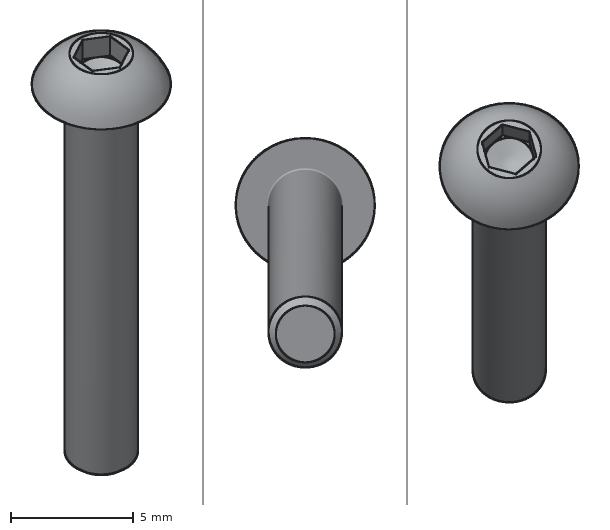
import cadquery as cq
import math

total_length = 21.65
head_diameter = 5.7
head_height = 1.65
head_flat_diameter = 2.6
shank_diameter = 3.0
neck_fillet = 0.06
tip_chamfer = 0.3
socket_across_flats = 2.0
socket_depth = 1.05
socket_cone_angle = 140.0

head_radius = head_diameter / 2
flat_radius = head_flat_diameter / 2
shank_radius = shank_diameter / 2
shank_length = total_length - head_height


def dome_midpoint():
    """Point at half the head height on the sphere through the rim and the flat top."""
    center_height = (flat_radius**2 + head_height**2 - head_radius**2) / (2 * head_height)
    sphere_radius = math.hypot(head_radius, center_height)
    height = head_height / 2
    radius = math.sqrt(sphere_radius**2 - (height - center_height) ** 2)
    return radius, shank_length + height


def make_body():
    """Revolve the half section of the chamfered shank and the domed head."""
    fillet_middle = neck_fillet * (1 - math.sqrt(0.5))
    profile = (
        cq.Workplane("XZ")
        .lineTo(shank_radius - tip_chamfer, 0)
        .lineTo(shank_radius, tip_chamfer)
        .lineTo(shank_radius, shank_length - neck_fillet)
        .threePointArc(
            (shank_radius + fillet_middle, shank_length - fillet_middle),
            (shank_radius + neck_fillet, shank_length),
        )
        .lineTo(head_radius, shank_length)
        .threePointArc(dome_midpoint(), (flat_radius, total_length))
        .lineTo(0, total_length)
        .close()
    )
    return profile.revolve(360, (0, 0, 0), (0, 1, 0))


def make_socket():
    """Hexagonal socket with corners on the Y axis and a conical bottom."""
    across_corners = socket_across_flats / math.cos(math.radians(30))
    floor_height = total_length - socket_depth
    hexagon = (
        cq.Workplane("XY", origin=(0, 0, floor_height))
        .transformed(rotate=(0, 0, 90))
        .polygon(6, across_corners)
        .extrude(socket_depth)
    )
    cone_radius = socket_across_flats / 2
    cone_depth = cone_radius / math.tan(math.radians(socket_cone_angle / 2))
    cone = cq.Workplane(
        cq.Solid.makeCone(0, cone_radius, cone_depth, pnt=cq.Vector(0, 0, floor_height - cone_depth))
    )
    return hexagon.union(cone)


result = make_body().cut(make_socket())